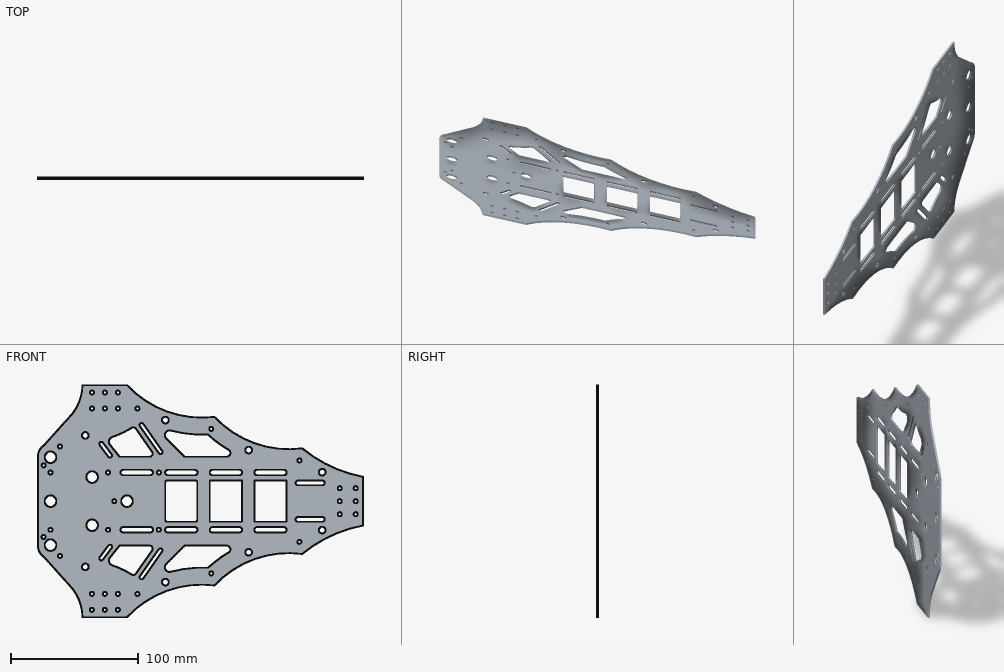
import cadquery as cq
import math

LENGTH = 255.0
WIDTH = 182.0
THICKNESS = 1.5
HALF_WIDTH = WIDTH / 2

FRONT_HALF_WIDTH = 36.2
FLANK_START = (4.8, 43.9)
FLANK_END = (27.5, 69.0)
CORNER_RADIUS = 11.5
HOLLOW_RADIUS = 38.2
WING_FRONT_X = 35.0

SCALLOP_RADIUS = 80.0
FRONT_SCALLOP = (128.5, 145.5)
MIDDLE_SCALLOP = (196.9, 120.9)
REAR_SCALLOP = (274.5, 123.0)
REAR_SCALLOP_RADIUS = 105.5

SMALL_HOLE = 3.0
MEDIUM_HOLE = 5.0
LARGE_HOLE = 9.0
WING_COLUMNS = (42.3, 52.5, 62.7)
WING_ROWS = (72.7, 85.2)
TAIL_COLUMNS = (236.6, 249.1)
TAIL_ROW = 10.2
SLOT_ROW = 22.5
FRONT_HOLE_X = 10.0
SMALL_PAIRS = [
    (4.5, 28.0), (FRONT_HOLE_X, SLOT_ROW), (17.3, 42.8), (55.0, SLOT_ROW),
    (94.9, SLOT_ROW), (78.0, WING_ROWS[0]), (136.0, 56.5), (205.0, 32.0),
]
MEDIUM_PAIRS = [(37.2, 51.5), (100.0, 63.5), (165.2, 40.0), (222.9, 22.7)]
LARGE_PAIRS = [(FRONT_HOLE_X, 34.5), (42.5, 18.9)]
SMALL_CENTRAL_X = (60.0,) + TAIL_COLUMNS
LARGE_CENTRAL_X = (FRONT_HOLE_X, 69.9)

BAY_PITCH = 35.0
FIRST_BAY_X = 112.5
BAY_COUNT = 3
WINDOW_LENGTH = 25.0
WINDOW_HEIGHT = 32.1
WINDOW_CORNER = 1.3
SLOT_LENGTH = 25.2
SLOT_WIDTH = 4.0
TAIL_SLOT = (213.5, 14.3)
TAIL_SLOT_LENGTH = 22.7
TAIL_SLOT_WIDTH = 3.5

SLANTED_SLOT_WIDTH = 3.0
SHORT_SLANT = ((49.7, 45.0), (56.5, 35.7))
LONG_SLANT = ((81.3, 59.7), (96.1, 38.5))

WINDOW_BASE = 35.0
SCALLOP_RIM = 13.5
REAR_WINDOW_FRONT_X = 115.0
REAR_WINDOW_CORNER = 2.8
REAR_WINDOW_TIP_RADIUS = 3.5

FRONT_WINDOW_LEFT = (53.0, 48.7)
FRONT_WINDOW_CREST = (65.5, 53.0)
FRONT_WINDOW_TOP = (75.5, 58.6)
FRONT_WINDOW_BASE_X = (64.0, 92.0)
FRONT_WINDOW_LEFT_RADIUS = 3.8
FRONT_WINDOW_RADIUS = 2.3


def sketch():
    """Workplane on the -Y face, with local axes X and Z."""
    return cq.Workplane("XZ", origin=(0, -THICKNESS / 2, 0))


def mirrored(solid):
    return solid.union(solid.mirror("XY"))


def discs(points, diameter):
    """Round plugs through the full thickness, used as cutters."""
    return sketch().pushPoints(points).circle(diameter / 2).extrude(-THICKNESS)


def both_sides(points):
    return [(x, side * z) for x, z in points for side in (1, -1)]


def slanted_slot(start, end, width):
    """Slot between two end-arc centres."""
    run, rise = end[0] - start[0], end[1] - start[1]
    middle = ((start[0] + end[0]) / 2, (start[1] + end[1]) / 2)
    angle = math.degrees(math.atan2(rise, run))
    length = math.hypot(run, rise) + width
    return sketch().center(*middle).slot2D(length, width, angle).extrude(-THICKNESS)


def half_plate():
    blank = (
        sketch()
        .moveTo(0, 0)
        .lineTo(0, FRONT_HALF_WIDTH)
        .radiusArc(FLANK_START, CORNER_RADIUS)
        .lineTo(*FLANK_END)
        .radiusArc((WING_FRONT_X, HALF_WIDTH), -HOLLOW_RADIUS)
        .lineTo(LENGTH, HALF_WIDTH)
        .lineTo(LENGTH, 0)
        .close()
        .extrude(-THICKNESS)
    )
    for centre in (FRONT_SCALLOP, MIDDLE_SCALLOP):
        blank = blank.cut(discs([centre], 2 * SCALLOP_RADIUS))
    return blank.cut(discs([REAR_SCALLOP], 2 * REAR_SCALLOP_RADIUS))


def round_at(solid, x, z, radius):
    """Round the through-thickness edge nearest to (x, z)."""
    edge = cq.selectors.NearestToPointSelector((x, 0, z))
    return solid.edges("|Y").edges(edge).fillet(radius)


def front_window():
    base_front, base_rear = FRONT_WINDOW_BASE_X
    window = (
        sketch()
        .moveTo(base_front, WINDOW_BASE)
        .lineTo(*FRONT_WINDOW_LEFT)
        .threePointArc(FRONT_WINDOW_CREST, FRONT_WINDOW_TOP)
        .lineTo(base_rear, WINDOW_BASE)
        .close()
        .extrude(-THICKNESS)
    )
    window = round_at(window, *FRONT_WINDOW_LEFT, FRONT_WINDOW_LEFT_RADIUS)
    window = round_at(window, *FRONT_WINDOW_TOP, FRONT_WINDOW_RADIUS)
    return round_at(window, base_rear, WINDOW_BASE, FRONT_WINDOW_RADIUS)


def rear_window():
    """Window with a 45 degree front side, bounded by rims around two scallops."""
    rim_diameter = 2 * (SCALLOP_RADIUS + SCALLOP_RIM)
    drop = MIDDLE_SCALLOP[1] - WINDOW_BASE
    rear_x = MIDDLE_SCALLOP[0] - math.sqrt((rim_diameter / 2) ** 2 - drop**2)
    rise = FRONT_SCALLOP[1] - WINDOW_BASE
    blank = (
        sketch()
        .moveTo(REAR_WINDOW_FRONT_X, WINDOW_BASE)
        .lineTo(REAR_WINDOW_FRONT_X - rise, WINDOW_BASE + rise)
        .lineTo(MIDDLE_SCALLOP[0], WINDOW_BASE + rise)
        .lineTo(MIDDLE_SCALLOP[0], WINDOW_BASE)
        .close()
        .extrude(-THICKNESS)
    )
    for centre in (FRONT_SCALLOP, MIDDLE_SCALLOP):
        blank = blank.cut(discs([centre], rim_diameter))
    near_base = cq.selectors.NearestToPointSelector((REAR_WINDOW_FRONT_X, 0, WINDOW_BASE))
    window = blank.solids(near_base)
    window = round_at(cq.Workplane(window.val()), rear_x, WINDOW_BASE, REAR_WINDOW_CORNER)
    front_corner = window.edges("|Y").edges("<X")
    return front_corner.fillet(REAR_WINDOW_TIP_RADIUS)


def bay_window(x):
    return sketch().center(x, 0).rect(WINDOW_LENGTH, WINDOW_HEIGHT).extrude(-THICKNESS)


def straight_slot(centre, length, width):
    return sketch().center(*centre).slot2D(length, width).extrude(-THICKNESS)


def half_openings():
    """Slots and lightening windows on the +Z half."""
    openings = [
        front_window(),
        rear_window(),
        slanted_slot(*SHORT_SLANT, SLANTED_SLOT_WIDTH),
        slanted_slot(*LONG_SLANT, SLANTED_SLOT_WIDTH),
        straight_slot(TAIL_SLOT, TAIL_SLOT_LENGTH, TAIL_SLOT_WIDTH),
    ]
    for index in range(-1, BAY_COUNT):
        centre = (FIRST_BAY_X + index * BAY_PITCH, SLOT_ROW)
        openings.append(straight_slot(centre, SLOT_LENGTH, SLOT_WIDTH))
    return openings


plate = mirrored(half_plate())

for opening in half_openings():
    plate = plate.cut(opening).cut(opening.mirror("XY"))

plate = plate.cut(bay_window(FIRST_BAY_X).edges("|Y").fillet(WINDOW_CORNER))
for index in range(1, BAY_COUNT):
    plate = plate.cut(bay_window(FIRST_BAY_X + index * BAY_PITCH))

wing_holes = [(x, z) for x in WING_COLUMNS for z in WING_ROWS]
tail_holes = [(x, TAIL_ROW) for x in TAIL_COLUMNS]
small_centres = both_sides(SMALL_PAIRS + wing_holes + tail_holes) + [(x, 0) for x in SMALL_CENTRAL_X]
large_centres = both_sides(LARGE_PAIRS) + [(x, 0) for x in LARGE_CENTRAL_X]
plate = plate.cut(discs(small_centres, SMALL_HOLE))
plate = plate.cut(discs(both_sides(MEDIUM_PAIRS), MEDIUM_HOLE))
plate = plate.cut(discs(large_centres, LARGE_HOLE))

result = plate